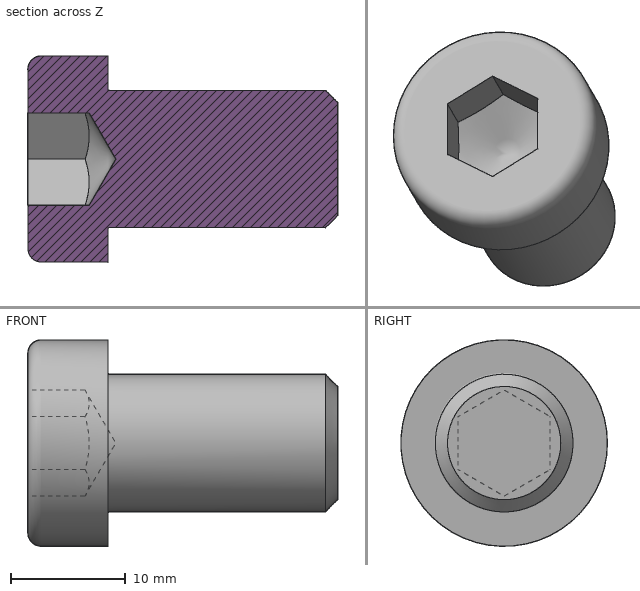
import cadquery as cq
import math

HEAD_DIAMETER = 18.0
HEAD_HEIGHT = 7.0
HEAD_ROUND = 1.2
SHANK_DIAMETER = 12.0
SHANK_LENGTH = 20.0
TIP_CHAMFER = 1.07
UNDERHEAD_FILLET = 0.1

SOCKET_ACROSS_FLATS = 8.0
SOCKET_CORNER_DEPTH = 5.0
CONE_POINT_ANGLE = 120.0

AXIS_START = (0, 0, 0)
AXIS_END = (1, 0, 0)


def make_body():
    """Head and shank as one half profile (X along the axis, Y radial) turned about X."""
    head_radius = HEAD_DIAMETER / 2
    shank_radius = SHANK_DIAMETER / 2
    tip_x = HEAD_HEIGHT + SHANK_LENGTH
    return (
        cq.Workplane("XY")
        .lineTo(0, head_radius - HEAD_ROUND)
        .radiusArc((HEAD_ROUND, head_radius), HEAD_ROUND)
        .lineTo(HEAD_HEIGHT, head_radius)
        .lineTo(HEAD_HEIGHT, shank_radius + UNDERHEAD_FILLET)
        .radiusArc((HEAD_HEIGHT + UNDERHEAD_FILLET, shank_radius), -UNDERHEAD_FILLET)
        .lineTo(tip_x - TIP_CHAMFER, shank_radius)
        .lineTo(tip_x, shank_radius - TIP_CHAMFER)
        .lineTo(tip_x, 0)
        .close()
        .revolve(360, AXIS_START, AXIS_END)
    )


def make_socket():
    """Hexagonal prism whose inner end is trimmed to a cone through its corners."""
    corner_radius = SOCKET_ACROSS_FLATS / math.sqrt(3)
    cone_height = corner_radius / math.tan(math.radians(CONE_POINT_ANGLE / 2))
    point_x = SOCKET_CORNER_DEPTH + cone_height
    prism = (
        cq.Workplane("YZ")
        .transformed(rotate=(0, 0, 90))
        .polygon(6, 2 * corner_radius)
        .extrude(point_x)
    )
    pointed_cylinder = (
        cq.Workplane("XY")
        .lineTo(0, corner_radius)
        .lineTo(SOCKET_CORNER_DEPTH, corner_radius)
        .lineTo(point_x, 0)
        .close()
        .revolve(360, AXIS_START, AXIS_END)
    )
    return prism.intersect(pointed_cylinder)


result = make_body().cut(make_socket())